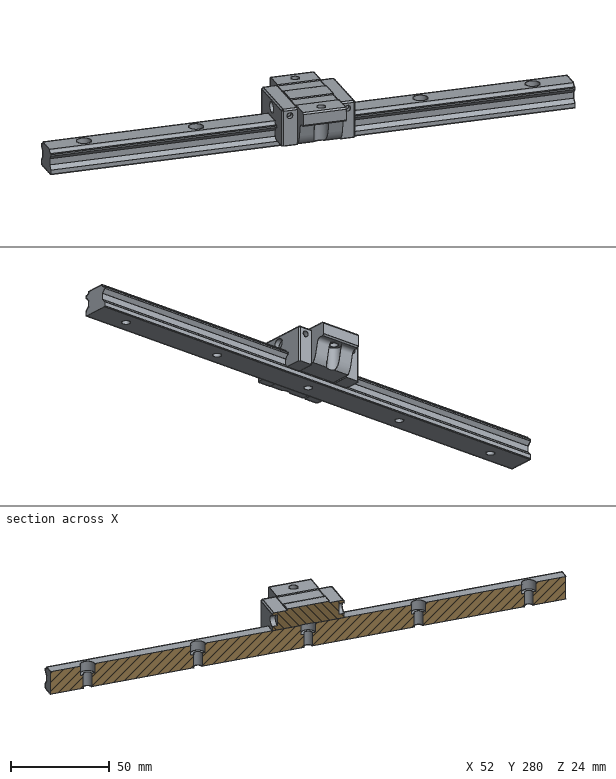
import cadquery as cq
import math

RAIL_LENGTH = 280.0
RAIL_HEIGHT = 13.2
RAIL_HALF_WIDTH = 7.5
RAIL_NECK_HALF_WIDTH = 5.5
RAIL_TOP_HALF_WIDTH = 5.3
RAIL_BASE_TOP = 3.0
RAIL_NECK_BOTTOM = 4.8
RAIL_NECK_TOP = 8.0
RAIL_HEAD_BOTTOM = 9.8
RAIL_CORNER_CHAMFER = 0.42
BALL_TRACK_TOP = 13.0
BALL_TRACK_BOTTOM = 11.5
BALL_TRACK_RADIUS = BALL_TRACK_TOP - BALL_TRACK_BOTTOM
RAIL_BOLT_PITCH = 60.0
RAIL_BOLT_COUNT = 5
RAIL_BOLT_DIAMETER = 4.5
RAIL_BOLT_HEAD_DIAMETER = 7.5
RAIL_BOLT_HEAD_DEPTH = 5.3

CARRIAGE_TOP = 24.0
BLOCK_LENGTH = 23.0
BLOCK_BOTTOM = 4.2
FLANGE_HALF_WIDTH = 26.0
FLANGE_BOTTOM = 16.5
FLANGE_CHAMFER = 0.8
FLANK_TOP_HALF_WIDTH = 21.5
FLANK_FILLET = 2.5
FLANK_FOOT_HALF_WIDTH = 20.0
FLANK_FOOT_HEIGHT = 9.0
FOOT_HALF_WIDTH = 17.5
GROOVE_INNER = 6.0
GROOVE_OUTER = 14.3
GROOVE_DEPTH = 0.5
GROOVE_FLARE = 0.3
FLANGE_BOLT_X = 20.5
FLANGE_BOLT_DIAMETER = 4.5
FLANGE_BOLT_HEAD_DIAMETER = 7.5

CARRIAGE_LENGTH = 39.2
CAP_LENGTH = (CARRIAGE_LENGTH - BLOCK_LENGTH) / 2
CAP_HALF_WIDTH = 16.5
CAP_TOP = 23.2
CAP_BOTTOM = 3.5
CAP_CHAMFER = 0.8
END_PORT_DIAMETER = 6.0
END_PORT_HEIGHT = 18.5
SIDE_PORT_DIAMETER = 3.0
SIDE_PORT_HEIGHT = 19.5
SIDE_PORT_Y = 15.5
PORT_DEPTH = 2.8

SIDES = (-1, 1)


def mirrored_bar(half_outline, length):
    """Bar along Y, centred on Y = 0, from the +X half of its XZ outline."""
    half = half_outline.close().extrude(length / 2, both=True)
    return half.union(half.mirror("YZ"))


def make_rail_bar():
    """Rail section without bolt holes; the carriage opening has the same shape."""
    track_midpoint = BALL_TRACK_RADIUS * (1 - math.sqrt(0.5))
    corner_x = RAIL_HALF_WIDTH - RAIL_CORNER_CHAMFER
    outline = (
        cq.Workplane("XZ")
        .lineTo(corner_x, 0)
        .lineTo(RAIL_HALF_WIDTH, RAIL_CORNER_CHAMFER)
        .lineTo(RAIL_HALF_WIDTH, RAIL_BASE_TOP - RAIL_CORNER_CHAMFER)
        .lineTo(corner_x, RAIL_BASE_TOP)
        .lineTo(RAIL_NECK_HALF_WIDTH, RAIL_NECK_BOTTOM)
        .lineTo(RAIL_NECK_HALF_WIDTH, RAIL_NECK_TOP)
        .lineTo(corner_x, RAIL_HEAD_BOTTOM)
        .lineTo(RAIL_HALF_WIDTH, RAIL_HEAD_BOTTOM + RAIL_CORNER_CHAMFER)
        .lineTo(RAIL_HALF_WIDTH, BALL_TRACK_BOTTOM - RAIL_CORNER_CHAMFER)
        .lineTo(corner_x, BALL_TRACK_BOTTOM)
        .lineTo(RAIL_TOP_HALF_WIDTH + BALL_TRACK_RADIUS, BALL_TRACK_BOTTOM)
        .threePointArc(
            (RAIL_TOP_HALF_WIDTH + track_midpoint, BALL_TRACK_BOTTOM + track_midpoint),
            (RAIL_TOP_HALF_WIDTH, BALL_TRACK_TOP),
        )
        .lineTo(RAIL_TOP_HALF_WIDTH, RAIL_HEIGHT)
        .lineTo(0, RAIL_HEIGHT)
    )
    return mirrored_bar(outline, RAIL_LENGTH)


def make_rail():
    """Rail with a row of counterbored bolt holes."""
    return (
        make_rail_bar()
        .faces(">Z")
        .workplane(origin=(0, 0, 0))
        .rarray(2.8, RAIL_BOLT_PITCH, 1, RAIL_BOLT_COUNT)
        .cboreHole(RAIL_BOLT_DIAMETER, RAIL_BOLT_HEAD_DIAMETER, RAIL_BOLT_HEAD_DEPTH)
    )


def make_block():
    """Middle block: side flanges, sloped flanks and a rounded foot."""
    outline = (
        cq.Workplane("XZ")
        .moveTo(0, CARRIAGE_TOP)
        .lineTo(FLANGE_HALF_WIDTH, CARRIAGE_TOP)
        .lineTo(FLANGE_HALF_WIDTH, FLANGE_BOTTOM)
        .lineTo(FLANK_TOP_HALF_WIDTH, FLANGE_BOTTOM)
        .lineTo(FLANK_FOOT_HALF_WIDTH, FLANK_FOOT_HEIGHT)
        .tangentArcPoint((FOOT_HALF_WIDTH, BLOCK_BOTTOM), relative=False)
        .lineTo(0, BLOCK_BOTTOM)
    )
    block = mirrored_bar(outline, BLOCK_LENGTH)
    for side in SIDES:
        corner = cq.selectors.NearestToPointSelector((side * FLANK_TOP_HALF_WIDTH, 0, FLANGE_BOTTOM))
        block = block.edges("|Y").edges(corner).fillet(FLANK_FILLET)
    return block.faces("<X or >X").edges("|Y").chamfer(FLANGE_CHAMFER)


def make_top_groove(side):
    """Cutter for one shallow groove with slightly leaning walls."""
    floor = CARRIAGE_TOP - GROOVE_DEPTH
    return (
        cq.Workplane("XZ")
        .moveTo(side * GROOVE_INNER, floor)
        .lineTo(side * GROOVE_OUTER, floor)
        .lineTo(side * (GROOVE_OUTER + GROOVE_FLARE), CARRIAGE_TOP)
        .lineTo(side * (GROOVE_INNER - GROOVE_FLARE), CARRIAGE_TOP)
        .close()
        .extrude(BLOCK_LENGTH / 2, both=True)
    )


def make_flange_bolt(side):
    """Cutter for a flange bolt hole and the head clearance in the flank below it."""
    axis = cq.Workplane(origin=(side * FLANGE_BOLT_X, 0, 0))
    hole = axis.circle(FLANGE_BOLT_DIAMETER / 2).extrude(CARRIAGE_TOP)
    return hole.union(axis.circle(FLANGE_BOLT_HEAD_DIAMETER / 2).extrude(FLANGE_BOTTOM))


def make_end_cap():
    """End cap on the -Y end, with one port in its end and one in each side."""
    end = -CARRIAGE_LENGTH / 2
    cap = (
        cq.Workplane("XZ", origin=(0, end, (CAP_TOP + CAP_BOTTOM) / 2))
        .rect(2 * CAP_HALF_WIDTH, CAP_TOP - CAP_BOTTOM)
        .extrude(-CAP_LENGTH)
    )
    cap = cap.edges("(<Y and (|Z or >Z)) or (>Z and |Y)").chamfer(CAP_CHAMFER)
    end_port = cq.Workplane("XZ", origin=(0, end, END_PORT_HEIGHT)).circle(END_PORT_DIAMETER / 2)
    cap = cap.cut(end_port.extrude(-PORT_DEPTH))
    for side in SIDES:
        port = cq.Workplane("YZ", origin=(side * CAP_HALF_WIDTH, -SIDE_PORT_Y, SIDE_PORT_HEIGHT))
        cap = cap.cut(port.circle(SIDE_PORT_DIAMETER / 2).extrude(-side * PORT_DEPTH))
    return cap


def make_carriage():
    """Block and two end caps in one piece, with an opening that fits the rail."""
    block = make_block()
    for side in SIDES:
        block = block.cut(make_top_groove(side))
        block = block.cut(make_flange_bolt(side))
    cap = make_end_cap()
    return block.union(cap).union(cap.mirror("XZ")).cut(make_rail_bar())


rail = make_rail()
carriage = make_carriage()

result = cq.Compound.makeCompound([rail.val(), carriage.val()])